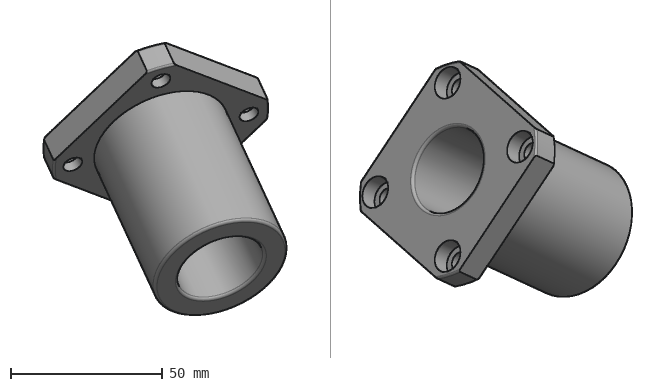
import cadquery as cq

total_length = 68.0
flange_thickness = 10.0
flange_diameter = 75.9
flange_across_flats = 60.0
flange_edge_radius = 0.7

sleeve_diameter = 47.0
bore_diameter = 30.0
sleeve_end_radius = 1.0
bore_mouth_radius = 1.0

hole_offset = 31.0
hole_count = 4
hole_diameter = 6.6
counterbore_diameter = 11.0
counterbore_depth = 6.2


def rod(diameter, length):
    """Solid cylinder on the X axis, starting at the flange face."""
    return cq.Workplane("YZ").circle(diameter / 2).extrude(length)


def make_flange():
    """Round-edged disc trimmed to a square that stands on its corner."""
    disc = rod(flange_diameter, flange_thickness).edges("%CIRCLE").fillet(flange_edge_radius)
    square = (
        cq.Workplane("YZ")
        .rect(flange_across_flats, flange_across_flats)
        .extrude(flange_thickness)
        .rotate((0, 0, 0), (1, 0, 0), 45)
    )
    return disc.intersect(square)


def make_sleeve():
    """Cylinder with a rounded free end."""
    return rod(sleeve_diameter, total_length).faces(">X").edges().fillet(sleeve_end_radius)


def make_bore():
    """Through bore, widened at both mouths by a convex round."""
    bore_radius = bore_diameter / 2
    mouth = bore_radius + bore_mouth_radius
    return (
        cq.Workplane("XY")
        .moveTo(0, 0)
        .lineTo(0, mouth)
        .radiusArc((bore_mouth_radius, bore_radius), -bore_mouth_radius)
        .lineTo(total_length - bore_mouth_radius, bore_radius)
        .radiusArc((total_length, mouth), -bore_mouth_radius)
        .lineTo(total_length, 0)
        .close()
        .revolve(360, (0, 0, 0), (1, 0, 0))
    )


def make_mounting_holes():
    """Counterbored holes sunk from the flange's outer face."""
    def at_corners(diameter, depth):
        return (
            cq.Workplane("YZ")
            .polarArray(hole_offset, 0, 360, hole_count)
            .circle(diameter / 2)
            .extrude(depth)
        )

    holes = at_corners(hole_diameter, flange_thickness)
    return holes.union(at_corners(counterbore_diameter, counterbore_depth))


result = make_flange().union(make_sleeve()).cut(make_bore()).cut(make_mounting_holes())